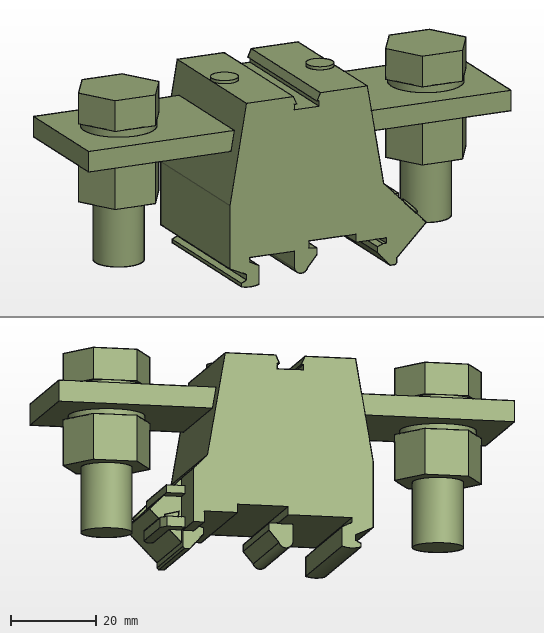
import cadquery as cq
import math

BODY_WIDTH = 37.8
HALF_WIDTH = BODY_WIDTH / 2
BODY_TOP = 45.4
TOP_HALF_LENGTH = 15.7
BASE_HALF_LENGTH = 20.0
FLANK_FOOT = 20.8
STEP_Y = 23.4
RAIL_SEAT = 7.3
RECESS_TOP = 9.2
RECESS_START_Y = 12.8
RECESS_END_Y = 0.5
BODY_CORNER_BOTTOM = 4.6
STEP_WALL_INNER_Y = 20.8

FOOT_INNER_Y = -12.4
FOOT_NOTCH_Y = -15.7
FOOT_TOE_Y = -17.0
FOOT_UNDERCUT_Y = -14.8
FOOT_WAIST_Z = 5.0
FOOT_POCKET_Z = 6.2
FOOT_SHOULDER_Z = 5.2
FOOT_NOTCH_TOP = 3.2
FOOT_NOTCH_BOTTOM = 1.9
FOOT_TOE_TOP = 1.2
FOOT_TOE_BOTTOM = 0.3

GROOVE_MOUTH = 3.5
GROOVE_NECK = 2.6
GROOVE_FLOOR_HALF = 3.2
GROOVE_NECK_Z = 43.5
GROOVE_FLOOR_Z = 42.1

BUTTON_DIAMETER = 6.6
BUTTON_TOP = 46.2
BUTTON_Y = TOP_HALF_LENGTH - BUTTON_DIAMETER / 2

BAR_LENGTH = 110.0
BAR_WIDTH = 30.1
BAR_BOTTOM = 32.8
BAR_TOP = 37.8
BOLT_SPACING = 80.0
HEX_ACROSS_FLATS = 18.2
HEX_ACROSS_CORNERS = HEX_ACROSS_FLATS / math.cos(math.pi / 6)
WASHER_DIAMETER = 18.0
SHANK_DIAMETER = 12.1
HEAD_TOP = 47.3
HEAD_BOTTOM = 39.7
NUT_TOP = 31.5
NUT_BOTTOM = 20.5
SHANK_BOTTOM = 4.8

HOOK_START_X = -7.9

HOOK_NOSE_Y = 2.6
HOOK_BACK_Y = -3.2
HOOK_NOSE_BOTTOM = 5.6
HOOK_TOP_RISE = 0.2
HOOK_TIP_START = (0.2, 2.8)
HOOK_TIP_LOW = (-1.5, 1.5)
HOOK_TIP_END_Z = 3.0

CATCH_BOTTOM = 0.3
CATCH_CORNER = 0.4
CATCH_SOLE_END_Y = 21.7
CATCH_NOSE_Y = 18.4
CATCH_NOSE_BOTTOM = 4.0
CATCH_NOSE_TOP = 5.4
CATCH_LEDGE_Y = 19.8
CATCH_TOP = 5.9

WEDGE_START_X = -6.6
WEDGE_TIP_Y = 31.1
WEDGE_TIP_Z = BASE_HALF_LENGTH + FLANK_FOOT - WEDGE_TIP_Y
RIB_HALF_WIDTH = 10.5
UPPER_RIB_Y = 27.9
UPPER_RIB_BOTTOM = 13.0
UPPER_RIB_TOP = 14.8
LOWER_RIB_Y = 29.0
LOWER_RIB_BOTTOM = 5.0
LOWER_RIB_TOP = 7.4
LOWER_RIB_CHAMFER_Y = 1.2
LOWER_RIB_CHAMFER_X = 2.1
PAD_OUTER_Y = 27.5
PAD_OUTER_TOP = 8.5
PAD_INNER_TOP_Y = 24.1
PAD_INNER_TOP = 9.4
PAD_INNER_BOTTOM_Y = 24.4
PAD_THICKNESS = 0.5
DISC_DIAMETER = 4.6
DISC_X = 15.7
DISC_Y = 27.9
DISC_HEIGHT = 0.7

OVERLAP = 0.5


def block(x_start, x_end, y_start, y_end, z_start, z_end):
    """Box given by its limits along each axis."""
    size = (x_end - x_start, y_end - y_start, z_end - z_start)
    return cq.Workplane("XY").box(*size, centered=False).translate((x_start, y_start, z_start))


def upright_cylinder(diameter, y, z_start, z_end):
    return cq.Workplane("XY", origin=(0, y, z_start)).circle(diameter / 2).extrude(z_end - z_start)


def upright_hexagon(y, z_start, z_end):
    """Hexagonal prism with two corners pointing along Y."""
    outline = cq.Workplane("XY", origin=(0, y, z_start)).transformed(rotate=(0, 0, 90))
    return outline.polygon(6, HEX_ACROSS_CORNERS).extrude(z_end - z_start)


def side_plane(x):
    return cq.Workplane("YZ", origin=(x, 0, 0))


def make_body():
    profile = (
        side_plane(-HALF_WIDTH)
        .moveTo(-TOP_HALF_LENGTH, BODY_TOP)
        .lineTo(-BASE_HALF_LENGTH, FLANK_FOOT)
        .lineTo(-BASE_HALF_LENGTH, FOOT_SHOULDER_Z)
        .lineTo(FOOT_NOTCH_Y, FOOT_NOTCH_TOP)
        .lineTo(FOOT_NOTCH_Y, FOOT_NOTCH_BOTTOM)
        .lineTo(FOOT_TOE_Y, FOOT_TOE_TOP)
        .lineTo(FOOT_TOE_Y, FOOT_TOE_BOTTOM)
        .threePointArc(((FOOT_TOE_Y + FOOT_INNER_Y) / 2, 0), (FOOT_INNER_Y, FOOT_TOE_BOTTOM))
        .lineTo(FOOT_INNER_Y, FOOT_WAIST_Z)
        .lineTo(FOOT_UNDERCUT_Y, FOOT_POCKET_Z)
        .lineTo(FOOT_UNDERCUT_Y, RAIL_SEAT)
        .lineTo(RECESS_END_Y, RAIL_SEAT)
        .lineTo(RECESS_END_Y, RECESS_TOP)
        .lineTo(RECESS_START_Y, RECESS_TOP)
        .lineTo(RECESS_START_Y, RAIL_SEAT)
        .lineTo(STEP_WALL_INNER_Y, RAIL_SEAT)
        .lineTo(STEP_WALL_INNER_Y, BODY_CORNER_BOTTOM)
        .lineTo(STEP_Y, BODY_CORNER_BOTTOM)
        .lineTo(STEP_Y, FLANK_FOOT - (STEP_Y - BASE_HALF_LENGTH))
        .lineTo(BASE_HALF_LENGTH, FLANK_FOOT)
        .lineTo(TOP_HALF_LENGTH, BODY_TOP)
        .lineTo(GROOVE_MOUTH, BODY_TOP)
        .lineTo(GROOVE_NECK, GROOVE_NECK_Z)
        .lineTo(GROOVE_FLOOR_HALF, GROOVE_NECK_Z)
        .lineTo(GROOVE_FLOOR_HALF, GROOVE_FLOOR_Z)
        .lineTo(-GROOVE_FLOOR_HALF, GROOVE_FLOOR_Z)
        .lineTo(-GROOVE_FLOOR_HALF, GROOVE_NECK_Z)
        .lineTo(-GROOVE_NECK, GROOVE_NECK_Z)
        .lineTo(-GROOVE_MOUTH, BODY_TOP)
        .close()
    )
    return profile.extrude(BODY_WIDTH)


def make_middle_hook():
    profile = (
        side_plane(HOOK_START_X)
        .moveTo(HOOK_NOSE_Y, RAIL_SEAT)
        .lineTo(HOOK_NOSE_Y, HOOK_NOSE_BOTTOM)
        .lineTo(*HOOK_TIP_START)
        .threePointArc(HOOK_TIP_LOW, (HOOK_BACK_Y, HOOK_TIP_END_Z))
        .lineTo(HOOK_BACK_Y, RAIL_SEAT + OVERLAP)
        .lineTo(RECESS_END_Y, RAIL_SEAT + OVERLAP)
        .lineTo(RECESS_END_Y, RAIL_SEAT + HOOK_TOP_RISE)
        .close()
    )
    return profile.extrude(HALF_WIDTH - HOOK_START_X)


def make_catch():
    """Hook that grips the rail edge, below the latch-side wall."""
    profile = (
        side_plane(HOOK_START_X)
        .moveTo(STEP_Y, BODY_CORNER_BOTTOM + OVERLAP)
        .lineTo(STEP_Y, CATCH_BOTTOM + CATCH_CORNER)
        .lineTo(STEP_Y - CATCH_CORNER, CATCH_BOTTOM)
        .lineTo(CATCH_SOLE_END_Y, CATCH_BOTTOM)
        .lineTo(CATCH_NOSE_Y, CATCH_NOSE_BOTTOM)
        .lineTo(CATCH_NOSE_Y, CATCH_NOSE_TOP)
        .lineTo(CATCH_LEDGE_Y, CATCH_TOP)
        .lineTo(STEP_WALL_INNER_Y + OVERLAP, CATCH_TOP)
        .close()
    )
    return profile.extrude(HALF_WIDTH - HOOK_START_X)


def make_wedge():
    """Triangular prism standing on the latch-side wall, with its edge along X."""
    profile = (
        side_plane(WEDGE_START_X)
        .moveTo(BASE_HALF_LENGTH, FLANK_FOOT)
        .lineTo(WEDGE_TIP_Y, WEDGE_TIP_Z)
        .lineTo(STEP_Y, WEDGE_TIP_Z - (WEDGE_TIP_Y - STEP_Y))
        .lineTo(STEP_WALL_INNER_Y, BODY_CORNER_BOTTOM)
        .close()
    )
    return profile.extrude(HALF_WIDTH - WEDGE_START_X)


def make_upper_rib():
    return block(
        -RIB_HALF_WIDTH, RIB_HALF_WIDTH, STEP_Y - OVERLAP, UPPER_RIB_Y, UPPER_RIB_BOTTOM, UPPER_RIB_TOP
    )


def make_lower_rib():
    """Rib whose two outer corners are cut off in plan."""
    narrow_half_width = RIB_HALF_WIDTH - LOWER_RIB_CHAMFER_X
    chamfer_start_y = LOWER_RIB_Y - LOWER_RIB_CHAMFER_Y
    outline = [
        (-RIB_HALF_WIDTH, STEP_Y - OVERLAP),
        (-RIB_HALF_WIDTH, chamfer_start_y),
        (-narrow_half_width, LOWER_RIB_Y),
        (narrow_half_width, LOWER_RIB_Y),
        (RIB_HALF_WIDTH, chamfer_start_y),
        (RIB_HALF_WIDTH, STEP_Y - OVERLAP),
    ]
    plane = cq.Workplane("XY", origin=(0, 0, LOWER_RIB_BOTTOM))
    return plane.polyline(outline).close().extrude(LOWER_RIB_TOP - LOWER_RIB_BOTTOM)


def make_side_pad():
    outline = [
        (PAD_OUTER_Y, LOWER_RIB_TOP),
        (PAD_OUTER_Y, PAD_OUTER_TOP),
        (PAD_INNER_TOP_Y, PAD_INNER_TOP),
        (PAD_INNER_BOTTOM_Y, LOWER_RIB_TOP),
    ]
    plane = side_plane(WEDGE_START_X - PAD_THICKNESS)
    return plane.polyline(outline).close().extrude(PAD_THICKNESS + OVERLAP)


def make_disc():
    """Disc with its axis square to the wedge's upper 45 degree slope."""
    slope_z = WEDGE_TIP_Z + WEDGE_TIP_Y - DISC_Y
    slope = cq.Plane(origin=(DISC_X, DISC_Y, slope_z), xDir=(1, 0, 0), normal=(0, 1, 1))
    sunk_slope = cq.Workplane(slope).workplane(offset=-OVERLAP)
    return sunk_slope.circle(DISC_DIAMETER / 2).extrude(OVERLAP + DISC_HEIGHT)


def make_bar():
    return block(
        -BAR_WIDTH / 2, BAR_WIDTH / 2, -BAR_LENGTH / 2, BAR_LENGTH / 2, BAR_BOTTOM, BAR_TOP
    )


def make_bolt(y):
    """Hexagon bolt with its nut and the washers above and below the bar."""
    bolt = upright_cylinder(WASHER_DIAMETER, y, NUT_TOP, HEAD_BOTTOM)
    bolt = bolt.union(upright_hexagon(y, HEAD_BOTTOM, HEAD_TOP))
    bolt = bolt.union(upright_hexagon(y, NUT_BOTTOM, NUT_TOP))
    return bolt.union(upright_cylinder(SHANK_DIAMETER, y, SHANK_BOTTOM, NUT_BOTTOM))


result = make_body().union(make_middle_hook()).union(make_catch()).union(make_wedge())
result = result.union(make_upper_rib()).union(make_lower_rib())
result = result.union(make_side_pad()).union(make_disc())
result = result.union(make_bar())
for side in (-1, 1):
    button = upright_cylinder(BUTTON_DIAMETER, side * BUTTON_Y, BODY_TOP - OVERLAP, BUTTON_TOP)
    result = result.union(button).union(make_bolt(side * BOLT_SPACING / 2))